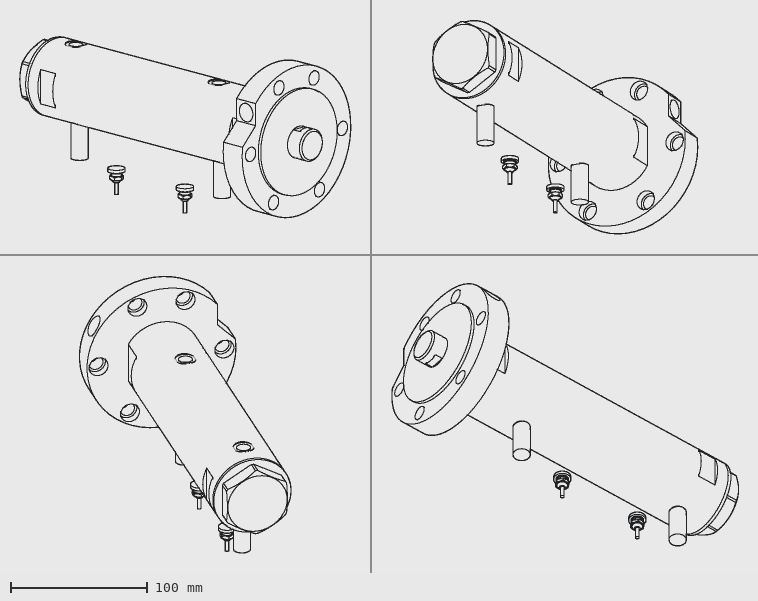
import cadquery as cq
import math


HEX_LENGTH = 12.7
COLLAR_LENGTH = 2.5
TUBE_START = HEX_LENGTH + COLLAR_LENGTH
SPIGOT_END = 38.5
GUIDE_START = 182.8
NECK_START = 219.9
FLANGE_START = 240.8
FLANGE_END = 260.2
PILOT_END = 262.7
ROD_END = 276.2

HEX_ACROSS_FLATS = 45.8
HEX_CORNER_RADIUS = 26.0
HEX_FACE_RADIUS = 22.6
HEX_CHAMFER_ANGLE = 35.0

TUBE_RADIUS = 29.5
BORE_RADIUS = 21.0
GUIDE_RADIUS = 24.0
NECK_FLAT_HALF_WIDTH = 25.5
RECESS_START = 25.0
RECESS_LENGTH = 15.2
RECESS_FLAT_HALF_WIDTH = 26.5

PORT_POSITIONS = (35.0, 181.0)
PORT_DIAMETER = 10.2
SPOT_FACE_RADIUS = 7.7
SPOT_FACE_HEIGHT = 28.7

FLANGE_RADIUS = 57.0
PILOT_RADIUS = 40.0
BOLT_CIRCLE_RADIUS = 48.0
BOLT_ANGLES = (0, 67.5, 112.5, 180, 240, 300)
BOLT_HOLE_DIAMETER = 10.8
BOLT_HEAD_RADIUS = 7.2
BOLT_HEAD_DEPTH = 6.5
NOTCH_FACE_DISTANCE = 42.8
NOTCH_BOTTOM_Z = 20.7
CROSS_HOLE_HEIGHT = 28.7
CROSS_HOLE_RADIUS = 7.0

ROD_DIAMETER = 24.0
ROD_RADIUS = ROD_DIAMETER / 2
ROD_CHAMFER = 1.5
ROD_FLAT_HALF_WIDTH = 10.5
ROD_FLAT_LENGTH = 6.4

PIN_POSITIONS = (39.0, 184.2)
PIN_RADIUS = 6.4
PIN_TOP = -SPOT_FACE_HEIGHT
PIN_BOTTOM = -FLANGE_RADIUS
PLUNGER_POSITIONS = (76.5, 146.5)
PLUNGER_TOP = PIN_BOTTOM
PLUNGER_LENGTH = 20.0
PLUNGER_HEAD_RADIUS = 6.4
PLUNGER_HEAD_HEIGHT = 2.5
PLUNGER_SHOULDER_RADIUS = 4.7
PLUNGER_SHOULDER_HEIGHT = 0.8
PLUNGER_NECK_RADIUS = 4.0
PLUNGER_NECK_HEIGHT = 2.2
PLUNGER_NUT_ACROSS_FLATS = 9.5
PLUNGER_NUT_HEIGHT = 3.0
PLUNGER_NUT_CHAMFER = 0.8
PLUNGER_CONE_HEIGHT = 2.2
PLUNGER_CONE_TIP_RADIUS = 2.2
PLUNGER_STEM_RADIUS = 1.5


def cylinder_x(radius, start, end):
    return cq.Workplane("YZ", origin=(start, 0, 0)).circle(radius).extrude(end - start)


def cylinder_z(radius, x, bottom, top):
    return cq.Workplane("XY", origin=(x, 0, bottom)).circle(radius).extrude(top - bottom)


def flats(half_width, start, end):
    """Two cutting blocks that leave parallel flats at Y = +/- half_width."""
    depth = TUBE_RADIUS
    blocks = cq.Workplane("YZ", origin=(start, 0, 0))
    offset = half_width + depth / 2
    return blocks.pushPoints([(-offset, 0), (offset, 0)]).rect(depth, 2 * TUBE_RADIUS).extrude(end - start)


def hex_diameter(across_flats):
    """Corner-to-corner diameter of a hexagon."""
    return across_flats / math.cos(math.radians(30))


def make_cap():
    hexagon = cq.Workplane("YZ").polygon(6, hex_diameter(HEX_ACROSS_FLATS)).extrude(HEX_LENGTH)
    hexagon = hexagon.rotate((0, 0, 0), (1, 0, 0), 30)
    chamfer_length = (HEX_CORNER_RADIUS - HEX_FACE_RADIUS) * math.tan(math.radians(HEX_CHAMFER_ANGLE))
    turned_blank = (
        cq.Workplane("XY")
        .moveTo(0, 0)
        .lineTo(0, HEX_FACE_RADIUS)
        .lineTo(chamfer_length, HEX_CORNER_RADIUS)
        .lineTo(HEX_LENGTH, HEX_CORNER_RADIUS)
        .lineTo(HEX_LENGTH, 0)
        .close()
        .revolve(360, (0, 0, 0), (1, 0, 0))
    )
    collar = cylinder_x(TUBE_RADIUS, HEX_LENGTH, TUBE_START)
    spigot = cylinder_x(BORE_RADIUS, TUBE_START, SPIGOT_END)
    return hexagon.intersect(turned_blank).union(collar).union(spigot)


def make_flange():
    flange = cylinder_x(FLANGE_RADIUS, FLANGE_START, FLANGE_END)
    slope_run = FLANGE_RADIUS
    notch = (
        cq.Workplane("YZ", origin=(FLANGE_START, 0, 0))
        .moveTo(-NOTCH_FACE_DISTANCE, NOTCH_BOTTOM_Z)
        .lineTo(-NOTCH_FACE_DISTANCE - slope_run, NOTCH_BOTTOM_Z - slope_run)
        .lineTo(-NOTCH_FACE_DISTANCE - slope_run, FLANGE_RADIUS)
        .lineTo(-NOTCH_FACE_DISTANCE, FLANGE_RADIUS)
        .close()
        .extrude(FLANGE_END - FLANGE_START)
    )
    flange = flange.cut(notch)

    for angle in BOLT_ANGLES:
        y = -BOLT_CIRCLE_RADIUS * math.cos(math.radians(angle))
        z = BOLT_CIRCLE_RADIUS * math.sin(math.radians(angle))
        hole = cylinder_x(BOLT_HOLE_DIAMETER / 2, FLANGE_START, FLANGE_END)
        head = cylinder_x(BOLT_HEAD_RADIUS, FLANGE_START, FLANGE_START + BOLT_HEAD_DEPTH)
        flange = flange.cut(hole.union(head).translate((0, y, z)))

    middle = (FLANGE_START + FLANGE_END) / 2
    cross_hole = (
        cq.Workplane("XZ", origin=(middle, 0, CROSS_HOLE_HEIGHT))
        .circle(CROSS_HOLE_RADIUS)
        .extrude(FLANGE_RADIUS, both=True)
    )
    return flange.cut(cross_hole)


def make_housing():
    tube = cylinder_x(TUBE_RADIUS, TUBE_START, NECK_START)
    tube = tube.cut(flats(RECESS_FLAT_HALF_WIDTH, RECESS_START, RECESS_START + RECESS_LENGTH))
    tube = tube.cut(cylinder_x(BORE_RADIUS, TUBE_START, NECK_START))

    for x in PORT_POSITIONS:
        tube = tube.cut(cylinder_z(PORT_DIAMETER / 2, x, 0, TUBE_RADIUS))
        tube = tube.cut(cylinder_z(SPOT_FACE_RADIUS, x, SPOT_FACE_HEIGHT, TUBE_RADIUS))
    for x in PIN_POSITIONS:
        tube = tube.cut(cylinder_z(PIN_RADIUS, x, -TUBE_RADIUS, PIN_TOP))

    neck = cylinder_x(TUBE_RADIUS, NECK_START, FLANGE_START)
    neck = neck.cut(flats(NECK_FLAT_HALF_WIDTH, NECK_START, FLANGE_START))
    pilot = cylinder_x(PILOT_RADIUS, FLANGE_END, PILOT_END)
    guide = cylinder_x(GUIDE_RADIUS, GUIDE_START, PILOT_END)
    housing = tube.union(neck).union(make_flange()).union(pilot).union(guide)
    return housing.cut(cylinder_x(ROD_RADIUS, GUIDE_START, PILOT_END))


def make_rod():
    rod = cylinder_x(ROD_RADIUS, SPIGOT_END, ROD_END).faces(">X").chamfer(ROD_CHAMFER)
    wrench_flats = flats(ROD_FLAT_HALF_WIDTH, PILOT_END, PILOT_END + ROD_FLAT_LENGTH)
    return rod.cut(wrench_flats.rotate((0, 0, 0), (1, 0, 0), 90))


def make_plunger(x):
    head_bottom = PLUNGER_TOP - PLUNGER_HEAD_HEIGHT
    shoulder_bottom = head_bottom - PLUNGER_SHOULDER_HEIGHT
    nut_top = shoulder_bottom - PLUNGER_NECK_HEIGHT
    nut_bottom = nut_top - PLUNGER_NUT_HEIGHT
    cone_bottom = nut_bottom - PLUNGER_CONE_HEIGHT
    stem_bottom = PLUNGER_TOP - PLUNGER_LENGTH

    head = cylinder_z(PLUNGER_HEAD_RADIUS, x, head_bottom, PLUNGER_TOP)
    shoulder = cylinder_z(PLUNGER_SHOULDER_RADIUS, x, shoulder_bottom, head_bottom)
    neck = cylinder_z(PLUNGER_NECK_RADIUS, x, nut_top, shoulder_bottom)
    nut_diameter = hex_diameter(PLUNGER_NUT_ACROSS_FLATS)
    nut = (
        cq.Workplane("XY", origin=(x, 0, nut_bottom))
        .polygon(6, nut_diameter)
        .extrude(PLUNGER_NUT_HEIGHT)
    )
    nut_blank = cylinder_z(nut_diameter / 2, x, nut_bottom, nut_top).edges("%CIRCLE")
    nut = nut.intersect(nut_blank.chamfer(PLUNGER_NUT_CHAMFER))
    cone = (
        cq.Workplane("XY", origin=(x, 0, cone_bottom))
        .circle(PLUNGER_CONE_TIP_RADIUS)
        .workplane(offset=PLUNGER_CONE_HEIGHT)
        .circle(PLUNGER_NUT_ACROSS_FLATS / 2 - PLUNGER_NUT_CHAMFER)
        .loft()
    )
    stem = cylinder_z(PLUNGER_STEM_RADIUS, x, stem_bottom, cone_bottom)
    return head.union(shoulder).union(neck).union(nut).union(cone).union(stem)


cap = make_cap()
housing = make_housing()
rod = make_rod()
pins = [cylinder_z(PIN_RADIUS, x, PIN_BOTTOM, PIN_TOP).val() for x in PIN_POSITIONS]
plungers = [make_plunger(x).val() for x in PLUNGER_POSITIONS]

result = cq.Compound.makeCompound([cap.val(), housing.val(), rod.val(), *pins, *plungers])